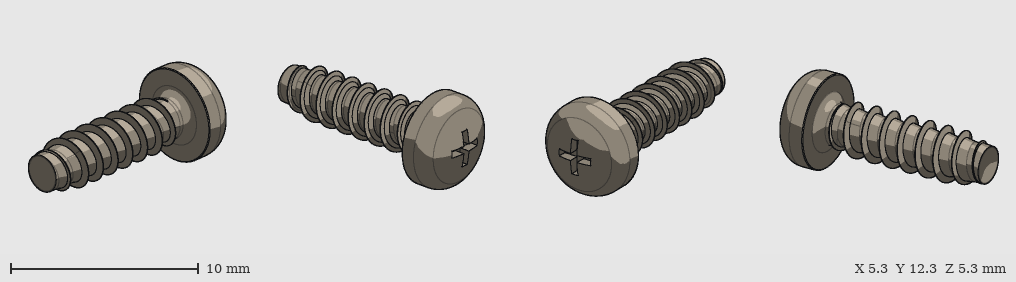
import cadquery as cq
import math

TOTAL_LENGTH = 12.28

HEAD_RADIUS = 2.65
HEAD_HEIGHT = 2.28
DOME_RADIUS = 4.38
SHOULDER_RADIUS = 1.04
HEAD_EDGE_CHAMFER = 0.05

RECESS_SPAN = 2.06
RECESS_WIDTH = 0.42
RECESS_DEPTH = 0.61

RECESS_CORNER_REACH = RECESS_WIDTH / math.sqrt(2)
DOME_CENTRE_Y = HEAD_HEIGHT - math.sqrt(DOME_RADIUS**2 - RECESS_CORNER_REACH**2)

SHANK_LENGTH = TOTAL_LENGTH - HEAD_HEIGHT
NECK_RADIUS = 1.17
NECK_FILLET = 0.5
NECK_LENGTH = 0.72
NECK_CONE_LENGTH = 0.47
CORE_RADIUS = 1.04
TIP_RIM_WIDTH = 0.06
TIP_DIMPLE_DEPTH = 0.1

PITCH = 1.12
THREAD_RADIUS = 1.51
ROOT_SINK = 0.01
ROOT_RADIUS = CORE_RADIUS - ROOT_SINK
EMBED_DEPTH = 0.06
BURIED_RADIUS = ROOT_RADIUS - EMBED_DEPTH
CREST_HALF_WIDTH = 0.018
TIP_FLANK_WIDTH = 0.12
HEAD_FLANK_WIDTH = 0.23
SHOULDER_WIDTH = 0.06
SHOULDER_HEIGHT = 0.5
RIDGE_HEIGHT = 0.11
RIDGE_LENGTH = 0.79
START_RIDGE_LENGTH = 0.31

START_ANGLE = 78.0
START_DEPTH = 0.72
START_HEIGHT = 0.34
LEAD_IN_TURN = 180.0
RUN_IN_TURN = 420.0
RUN_OUT_TURN = 580.0
END_GAP = 0.02
TOTAL_TURN = LEAD_IN_TURN / 2 + 360 * (SHANK_LENGTH - END_GAP - START_DEPTH) / PITCH
POINT_STEP = 15.0


def make_head_and_core():
    shoulder_x = HEAD_RADIUS - SHOULDER_RADIUS
    shoulder_angle = math.asin(shoulder_x / (DOME_RADIUS - SHOULDER_RADIUS))
    shoulder_y = DOME_CENTRE_Y + (DOME_RADIUS - SHOULDER_RADIUS) * math.cos(shoulder_angle)

    def on_dome(angle):
        return (DOME_RADIUS * math.sin(angle), DOME_CENTRE_Y + DOME_RADIUS * math.cos(angle))

    def on_shoulder(angle):
        return (
            shoulder_x + SHOULDER_RADIUS * math.sin(angle),
            shoulder_y + SHOULDER_RADIUS * math.cos(angle),
        )

    fillet_middle = NECK_FILLET * (1 - math.sqrt(0.5))
    outline = (
        cq.Workplane("XY")
        .moveTo(*on_dome(0))
        .threePointArc(on_dome(shoulder_angle / 2), on_dome(shoulder_angle))
        .threePointArc(on_shoulder((shoulder_angle + math.pi / 2) / 2), (HEAD_RADIUS, shoulder_y))
        .lineTo(HEAD_RADIUS, HEAD_EDGE_CHAMFER)
        .lineTo(HEAD_RADIUS - HEAD_EDGE_CHAMFER, 0)
        .lineTo(NECK_RADIUS + NECK_FILLET, 0)
        .threePointArc((NECK_RADIUS + fillet_middle, -fillet_middle), (NECK_RADIUS, -NECK_FILLET))
        .lineTo(NECK_RADIUS, -NECK_LENGTH)
        .lineTo(CORE_RADIUS, -NECK_LENGTH - NECK_CONE_LENGTH)
        .lineTo(CORE_RADIUS, -SHANK_LENGTH)
        .lineTo(0, -SHANK_LENGTH)
        .close()
    )
    return outline.revolve(360, (0, 0), (0, 1))


def make_cross_recess():
    wing = cq.Workplane("XY").box(RECESS_SPAN, 2 * RECESS_DEPTH, RECESS_WIDTH)
    cross = wing.union(wing.rotate((0, 0, 0), (0, 1, 0), 90))
    return cross.translate((0, HEAD_HEIGHT, 0))


def crest_depth(turn):
    if turn < LEAD_IN_TURN:
        effective_turn = turn**2 / (2 * LEAD_IN_TURN)
    else:
        effective_turn = turn - LEAD_IN_TURN / 2
    return START_DEPTH + PITCH * effective_turn / 360


def thread_profile(turn):
    """Corners of the thread section as (depth below the bearing face, radius)."""
    run_in = min(1, turn / RUN_IN_TURN)
    run_out = min(1, (TOTAL_TURN - turn) / RUN_OUT_TURN)
    scale = (START_HEIGHT + (1 - START_HEIGHT) * run_in) * run_out
    ridge_length = START_RIDGE_LENGTH + (RIDGE_LENGTH - START_RIDGE_LENGTH) * run_in

    ridge_scale = scale * (2 - run_out)
    height = scale * (THREAD_RADIUS - ROOT_RADIUS)
    head_foot = -CREST_HALF_WIDTH - scale * HEAD_FLANK_WIDTH
    corners = [
        (head_foot, BURIED_RADIUS),
        (head_foot, ROOT_RADIUS),
        (-CREST_HALF_WIDTH - scale * SHOULDER_WIDTH, ROOT_RADIUS + SHOULDER_HEIGHT * height),
        (-CREST_HALF_WIDTH, ROOT_RADIUS + height),
        (CREST_HALF_WIDTH, ROOT_RADIUS + height),
        (CREST_HALF_WIDTH + scale * TIP_FLANK_WIDTH, ROOT_RADIUS + ridge_scale * RIDGE_HEIGHT),
        (ridge_length, ROOT_RADIUS),
        (ridge_length, BURIED_RADIUS),
    ]
    return [(crest_depth(turn) + offset, radius) for offset, radius in corners]


def profile_points(turn):
    angle = math.radians(START_ANGLE + turn)
    return [
        cq.Vector(radius * math.cos(angle), -depth, radius * math.sin(angle))
        for depth, radius in thread_profile(turn)
    ]


def end_face(turn):
    return cq.Face.makeFromWires(cq.Wire.makePolygon(profile_points(turn), close=True))


def make_thread():
    faces = [end_face(0), end_face(TOTAL_TURN)]
    stops = [0, RUN_IN_TURN, TOTAL_TURN - RUN_OUT_TURN, TOTAL_TURN]
    for first, last in zip(stops, stops[1:]):
        steps = math.ceil((last - first) / POINT_STEP)
        sections = [profile_points(first + (last - first) * i / steps) for i in range(steps + 1)]
        edges = [cq.Edge.makeSpline(list(track)) for track in zip(*sections)]
        for edge, next_edge in zip(edges, edges[1:] + edges[:1]):
            faces.append(cq.Face.makeRuledSurface(edge, next_edge))
    thread = cq.Workplane(cq.Solid.makeSolid(cq.Shell.makeShell(faces)))

    beyond_tip = cq.Workplane("XZ", origin=(0, -SHANK_LENGTH, 0)).circle(HEAD_RADIUS).extrude(2 * PITCH)
    return thread.cut(beyond_tip)


def make_tip_dimple():
    return (
        cq.Workplane("XY")
        .moveTo(0, -SHANK_LENGTH)
        .lineTo(CORE_RADIUS - TIP_RIM_WIDTH, -SHANK_LENGTH)
        .lineTo(0, TIP_DIMPLE_DEPTH - SHANK_LENGTH)
        .close()
        .revolve(360, (0, 0), (0, 1))
    )


result = make_head_and_core().cut(make_cross_recess()).union(make_thread()).cut(make_tip_dimple())